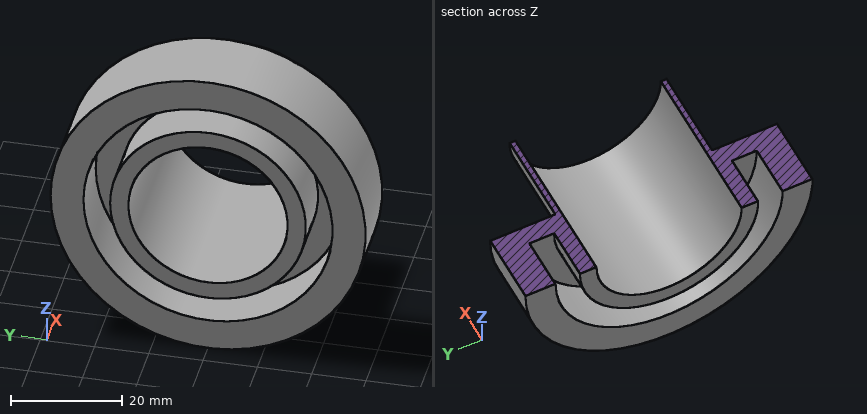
import cadquery as cq

total_length = 32.0
flange_diameter = 58.0
flange_length = 14.05
sleeve_diameter = 31.8
bore_diameter = 29.3
groove_inner_diameter = 36.0
groove_outer_diameter = 45.8
groove_depth = 10.2


def cylinder_along_x(diameter, length):
    """Solid cylinder on the X axis, starting at the flange face (X = 0)."""
    return cq.Workplane("YZ").circle(diameter / 2).extrude(length)


flange = cylinder_along_x(flange_diameter, flange_length)
sleeve = cylinder_along_x(sleeve_diameter, total_length)
body = flange.union(sleeve)

groove = cylinder_along_x(groove_outer_diameter, groove_depth).cut(
    cylinder_along_x(groove_inner_diameter, groove_depth)
)

bore = cylinder_along_x(bore_diameter, total_length)

result = body.cut(groove).cut(bore)